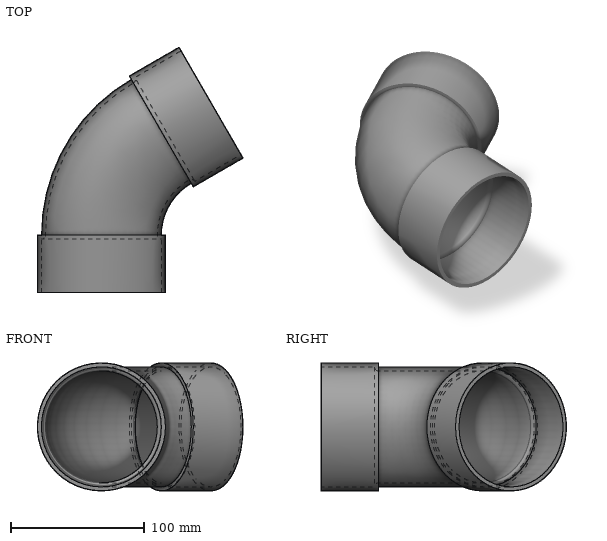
import cadquery as cq
import math

overall_length = 184.0
bend_angle = 60.0
socket_diameter = 96.0
socket_bore = 90.0
socket_length = 43.0
bend_diameter = 90.0
bend_bore = 84.0

stop_round = (socket_bore - bend_bore) / 2

angle = math.radians(bend_angle)
bend_radius = (
    overall_length
    - socket_length * (1 + math.cos(angle))
    - socket_diameter / 2 * math.sin(angle)
) / math.sin(angle)

bend_axis_start = (bend_radius, 0, 0)
bend_axis_end = (bend_radius, 0, 1)


def swing_to_outlet(body):
    """Carry a body from the inlet end of the bend to the outlet end."""
    return body.rotate(bend_axis_start, bend_axis_end, -bend_angle)


def straight_pipe(diameter, start, end):
    """Solid cylinder along Y between two Y positions."""
    return (
        cq.Workplane("XZ", origin=(0, start, 0))
        .circle(diameter / 2)
        .extrude(start - end)
    )


def curved_pipe(diameter):
    """Solid of circular section swept around the bend."""
    return (
        cq.Workplane("XZ")
        .circle(diameter / 2)
        .revolve(bend_angle, (bend_radius, 1.8, 0), (bend_radius, -1.8, 0))
    )


def outlet_from_inlet(inlet):
    """Mirror the inlet body lengthwise, then swing it onto the outlet end."""
    return swing_to_outlet(inlet.mirror("XZ"))


def inlet_passage_with_stop():
    """Socket bore that narrows to the bend bore over a convex rounded stop."""
    arc_reach = stop_round * math.sqrt(0.5)
    arc_middle = (socket_bore / 2 - arc_reach, -arc_reach)
    profile = (
        cq.Workplane("XY")
        .moveTo(0, -socket_length)
        .lineTo(socket_bore / 2, -socket_length)
        .lineTo(socket_bore / 2, -stop_round)
        .threePointArc(arc_middle, (bend_bore / 2, 0))
        .lineTo(0, 0)
        .close()
    )
    return profile.revolve(360, (0, 0, 0), (0, 1, 0))


inlet_socket = straight_pipe(socket_diameter, -socket_length, 0)
body = curved_pipe(bend_diameter).union(inlet_socket).union(outlet_from_inlet(inlet_socket))

inlet_passage = inlet_passage_with_stop()
result = (
    body.cut(curved_pipe(bend_bore))
    .cut(inlet_passage)
    .cut(outlet_from_inlet(inlet_passage))
)